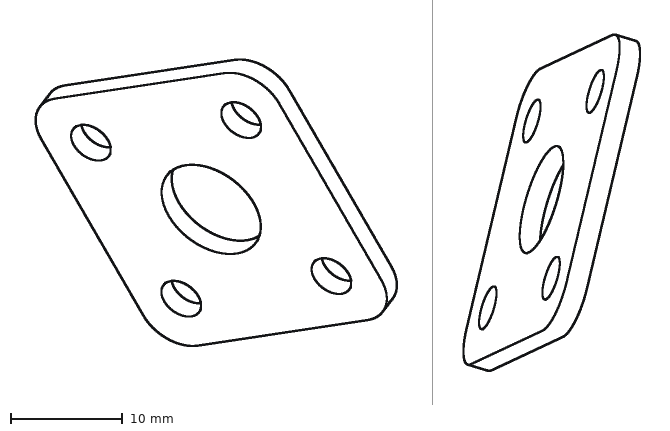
import cadquery as cq
import math

side = 28.0
thickness = 2.0
corner_radius = 4.0

bore_diameter = 10.0
bolt_hole_diameter = 4.0
bolt_circle_diameter = 25.0
bolt_spacing = bolt_circle_diameter / math.sqrt(2)

roll = math.radians(30.0)
tilt = math.radians(4.19)


def plate_plane():
    """Mid-plane of the plate, centred on the origin and facing -Y."""
    across = cq.Vector(
        math.cos(roll) * math.cos(tilt),
        -math.sin(tilt),
        math.sin(roll) * math.cos(tilt),
    )
    upward = cq.Vector(-math.sin(roll), 0, math.cos(roll))
    return cq.Plane(origin=(0, 0, 0), xDir=across, normal=across.cross(upward))


def rounded_plate():
    """Square plate with rounded corners, lying flat and centred on the origin."""
    return cq.Workplane("XY").box(side, side, thickness).edges("|Z").fillet(corner_radius)


def drill_holes(plate):
    """Central bore and four bolt holes, all through the plate."""
    bored = plate.faces(">Z").workplane().hole(bore_diameter)
    return (
        bored.faces(">Z")
        .workplane()
        .rect(bolt_spacing, bolt_spacing, forConstruction=True)
        .vertices()
        .hole(bolt_hole_diameter)
    )


flat_plate = drill_holes(rounded_plate())
result = cq.Workplane("XY").newObject([flat_plate.val().located(cq.Location(plate_plane()))])